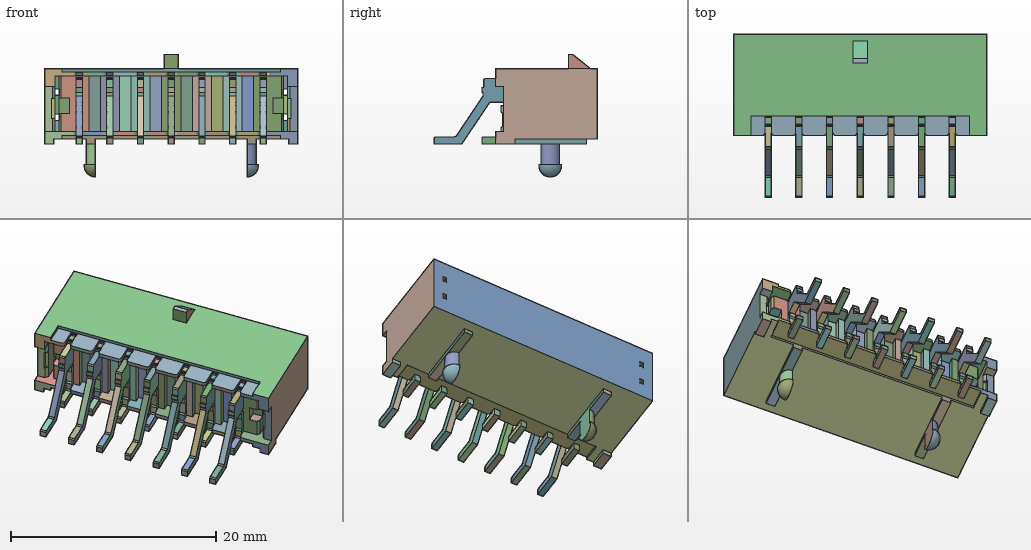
import cadquery as cq


BODY_LENGTH = 24.7
BODY_DEPTH = 9.9
BODY_BOTTOM = 0.5
BODY_TOP = 7.35
HALF_LENGTH = BODY_LENGTH / 2

CONTACT_COUNT = 7
CONTACT_PITCH = 3.0
CONTACT_WIDTH = 0.62
LEAD_THICKNESS = 0.72
LEAD_TIP_CHAMFER = 0.12
UPPER_LEAD_END = -6.0
LOWER_LEAD_END = -1.35

RELIEF_HALF_LENGTH = 10.67
RELIEF_DEPTH = 1.9
TOP_RELIEF_FLOOR = 7.05
BOTTOM_RELIEF_CEILING = 0.82

RECESS_HALF_LENGTH = 11.31
RECESS_DEPTH = 1.0
RECESS_BOTTOM = 1.24
RECESS_TOP = 6.65
END_OPENING_DEPTH = 0.75
END_OPENING_TOP = 5.6
SHELF_CORNER_RADIUS = 0.3
TOP_SLOT_DEPTH = 1.83

GROOVE_WIDTH = 1.1
GROOVE_BACK = 1.6

WALL_HALF_LENGTH = 10.92
WALL_CHAMFER_LENGTH = 0.2
WALL_CHAMFER_DEPTH = 0.3
GAP_BACK = 2.22
POCKET_INNER_X = 9.93
POCKET_BACK = 1.93
POCKET_BOTTOM = 2.96
POCKET_TOP = 4.5
SIGHT_HOLE_HEIGHT = 0.6
SIGHT_HOLE_BOTTOMS = (2.32, 4.77)
LEAD_IN_LENGTH = 0.27
LEAD_IN_DEPTH = 0.3
NOTCH_LENGTH = 0.35
NOTCH_BOTTOM = 2.5
NOTCH_TOP = 4.42

LATCH_WIDTH = 1.38
LATCH_FRONT = 7.1
LATCH_CREST_BACK = 7.5
LATCH_BACK = 9.25
LATCH_TOP = 8.75

FOOT_LENGTH = 0.91
FOOT_DEPTH = RELIEF_DEPTH
RAIL_WIDTH = 0.91
RAIL_BACK = 8.87
PEG_FLAT_X = 7.39
PEG_Y = 5.3
PEG_RADIUS = 0.91
PEG_SHANK_LENGTH = 1.98
PEG_HEAD_RADIUS = 1.1
PEG_HEAD_RIM = 0.12

contact_positions = [
    (i - (CONTACT_COUNT - 1) / 2) * CONTACT_PITCH for i in range(CONTACT_COUNT)
]
groove_positions = [x + CONTACT_PITCH / 2 for x in contact_positions[:-1]]


def block(x_range, y_range, z_range):
    """Box given by its limits along each axis."""
    (x0, x1), (y0, y1), (z0, z1) = x_range, y_range, z_range
    return cq.Workplane("XY").box(x1 - x0, y1 - y0, z1 - z0, centered=False).translate((x0, y0, z0))


def side_profile(points, width, x_center):
    """Extrude a (y, z) outline along X, centred on x_center."""
    plate = cq.Workplane("YZ").polyline(points).close().extrude(width / 2, both=True)
    return plate.translate((x_center, 0, 0))


def both_ends(shape):
    """Add the mirror image of a shape at the -X end."""
    return shape.union(shape.mirror("YZ"))


def recess():
    """Space between the shelves, with its open ends and the grooves in its back wall."""
    space = block(
        (-RECESS_HALF_LENGTH, RECESS_HALF_LENGTH), (0, RECESS_DEPTH), (RECESS_BOTTOM, RECESS_TOP)
    )
    space = space.union(
        block((-HALF_LENGTH, HALF_LENGTH), (0, END_OPENING_DEPTH), (RECESS_BOTTOM, END_OPENING_TOP))
    )
    for x in groove_positions:
        groove_span = (x - GROOVE_WIDTH / 2, x + GROOVE_WIDTH / 2)
        space = space.union(block(groove_span, (0, GROOVE_BACK), (RECESS_BOTTOM, RECESS_TOP)))
    return space


def end_gap():
    """Gap beside the back wall at the +X end, with its lead-in, pocket and sight holes."""
    gap_span = (WALL_HALF_LENGTH, RECESS_HALF_LENGTH)
    gap = block(gap_span, (0, GAP_BACK), (RECESS_BOTTOM, RECESS_TOP))

    wall_chamfer = (
        cq.Workplane("XY", origin=(0, 0, RECESS_BOTTOM))
        .polyline([
            (WALL_HALF_LENGTH - WALL_CHAMFER_LENGTH, RECESS_DEPTH),
            (WALL_HALF_LENGTH, RECESS_DEPTH),
            (WALL_HALF_LENGTH, RECESS_DEPTH + WALL_CHAMFER_DEPTH),
        ])
        .close()
        .extrude(RECESS_TOP - RECESS_BOTTOM)
    )
    shell_lead_in = (
        cq.Workplane("XY", origin=(0, 0, RECESS_BOTTOM))
        .polyline([
            (RECESS_HALF_LENGTH, END_OPENING_DEPTH),
            (RECESS_HALF_LENGTH + LEAD_IN_LENGTH, END_OPENING_DEPTH),
            (RECESS_HALF_LENGTH, END_OPENING_DEPTH + LEAD_IN_DEPTH),
        ])
        .close()
        .extrude(END_OPENING_TOP - RECESS_BOTTOM)
    )
    notch = block(
        (RECESS_HALF_LENGTH, RECESS_HALF_LENGTH + NOTCH_LENGTH),
        (0, END_OPENING_DEPTH + LEAD_IN_DEPTH),
        (NOTCH_BOTTOM, NOTCH_TOP),
    )
    pocket = block((POCKET_INNER_X, WALL_HALF_LENGTH), (0, POCKET_BACK), (POCKET_BOTTOM, POCKET_TOP))
    gap = gap.union(wall_chamfer).union(shell_lead_in).union(notch).union(pocket)

    for bottom in SIGHT_HOLE_BOTTOMS:
        gap = gap.union(block(gap_span, (0, BODY_DEPTH), (bottom, bottom + SIGHT_HOLE_HEIGHT)))
    return gap


def contact_slot(x, z_range, depth):
    """Slot across a shelf, its mouth flared by the rounded corners of the shelf."""
    bottom, top = z_range
    half = CONTACT_WIDTH / 2
    flare = half + SHELF_CORNER_RADIUS
    return (
        cq.Workplane("XY", origin=(x, 0, bottom))
        .moveTo(-flare, 0)
        .radiusArc((-half, SHELF_CORNER_RADIUS), -SHELF_CORNER_RADIUS)
        .lineTo(-half, depth)
        .lineTo(half, depth)
        .lineTo(half, SHELF_CORNER_RADIUS)
        .radiusArc((flare, 0), -SHELF_CORNER_RADIUS)
        .close()
        .extrude(top - bottom)
    )


def housing():
    """Shell with everything that is cut from its lead side."""
    body = block((-HALF_LENGTH, HALF_LENGTH), (0, BODY_DEPTH), (BODY_BOTTOM, BODY_TOP))
    relief_span = (-RELIEF_HALF_LENGTH, RELIEF_HALF_LENGTH)
    body = body.cut(block(relief_span, (0, RELIEF_DEPTH), (TOP_RELIEF_FLOOR, BODY_TOP)))
    body = body.cut(block(relief_span, (0, RELIEF_DEPTH), (BODY_BOTTOM, BOTTOM_RELIEF_CEILING)))
    body = body.cut(recess()).cut(both_ends(end_gap()))
    for x in contact_positions:
        body = body.cut(contact_slot(x, (RECESS_TOP, TOP_RELIEF_FLOOR), TOP_SLOT_DEPTH))
        body = body.cut(contact_slot(x, (BOTTOM_RELIEF_CEILING, RECESS_BOTTOM), RECESS_DEPTH))
    return body


def lead_tip(end):
    """Outline points of a lead's free end, from its upper face round to its underside."""
    return [
        (end + LEAD_TIP_CHAMFER, LEAD_THICKNESS),
        (end, LEAD_THICKNESS - LEAD_TIP_CHAMFER),
        (end, 0),
    ]


def upper_contact(x):
    """Contact of the upper row: stepped head, sloping leg and flat solder foot."""
    shank_bottom = 4.08
    shoulder_front, shoulder_top = 1.78, 6.92
    tail_top = 6.72
    head_front, head_top = -1.19, 6.4
    head_chamfer = 0.12
    lip_front, lip_bottom, lip_top = -1.35, 5.05, 5.53
    outline = [
        (TOP_SLOT_DEPTH, shank_bottom),
        (TOP_SLOT_DEPTH, shoulder_top),
        (shoulder_front, shoulder_top),
        (shoulder_front, tail_top),
        (1.15, tail_top),
        (1.04, 6.57),
        (0.9, head_top),
        (head_front + head_chamfer, head_top),
        (head_front, head_top - head_chamfer),
        (head_front, lip_top),
        (lip_front, lip_top),
        (lip_front, lip_bottom),
        (-1.25, lip_bottom),
        (-1.25, 4.67),
        (-3.85, 0.8),
        (-4.05, LEAD_THICKNESS),
        *lead_tip(UPPER_LEAD_END),
        (-3.3, 0),
        (-0.57, shank_bottom),
    ]
    return side_profile(outline, CONTACT_WIDTH, x)


def lower_contact(x):
    """Contact of the lower row: upright leg with a waist, and a short solder foot."""
    leg_front = 0.5
    waist_front = 0.65
    leg_top = 3.75
    outline = [
        (GROOVE_BACK, leg_top),
        (leg_front, leg_top),
        (leg_front, 3.15),
        (waist_front, 3.01),
        (waist_front, 1.73),
        (leg_front, 1.58),
        (leg_front, 0.85),
        (0.37, LEAD_THICKNESS),
        *lead_tip(LOWER_LEAD_END),
        (RECESS_DEPTH, 0),
        (RECESS_DEPTH, RECESS_BOTTOM),
        (GROOVE_BACK, RECESS_BOTTOM),
    ]
    return side_profile(outline, CONTACT_WIDTH, x)


def latch():
    """Wedge on the top face, steep towards the leads."""
    outline = [
        (LATCH_FRONT, BODY_TOP),
        (LATCH_FRONT, LATCH_TOP),
        (LATCH_CREST_BACK, LATCH_TOP),
        (LATCH_BACK, BODY_TOP),
    ]
    return side_profile(outline, LATCH_WIDTH, 0)


def peg():
    """Half-round locating peg at the +X end, flat towards the middle, with a domed head."""
    head_bottom = -PEG_SHANK_LENGTH - PEG_HEAD_RIM
    return (
        cq.Workplane("YZ", origin=(PEG_FLAT_X, PEG_Y, 0))
        .lineTo(-PEG_RADIUS, 0)
        .lineTo(-PEG_RADIUS, -PEG_SHANK_LENGTH)
        .lineTo(-PEG_HEAD_RADIUS, -PEG_SHANK_LENGTH)
        .lineTo(-PEG_HEAD_RADIUS, head_bottom)
        .radiusArc((0, head_bottom - PEG_HEAD_RADIUS), -PEG_HEAD_RADIUS)
        .close()
        .revolve(180, (0, 0, 0), (0, 1, 0))
    )


def underside():
    """Foot, rail and peg under the +X end."""
    foot = block((HALF_LENGTH - FOOT_LENGTH, HALF_LENGTH), (0, FOOT_DEPTH), (0, BODY_BOTTOM))
    rail = block((PEG_FLAT_X, PEG_FLAT_X + RAIL_WIDTH), (FOOT_DEPTH, RAIL_BACK), (0, BODY_BOTTOM))
    return foot.union(rail).union(peg())


result = housing().union(latch()).union(both_ends(underside()))
for contact_x in contact_positions:
    result = result.union(upper_contact(contact_x)).union(lower_contact(contact_x))